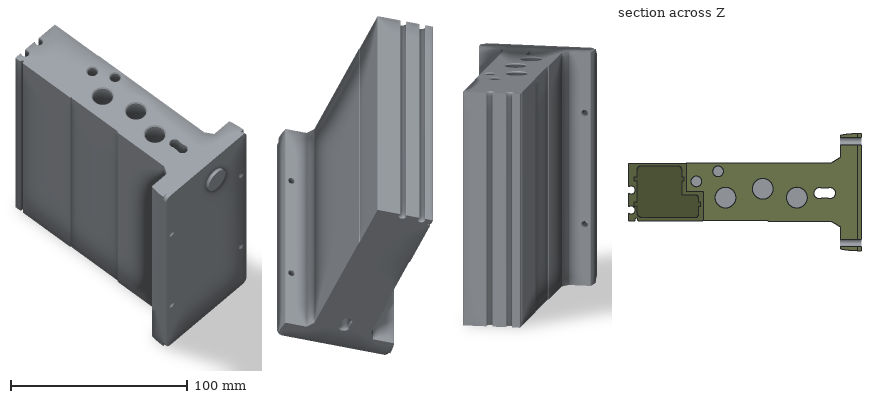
import cadquery as cq
import math

HEIGHT = 135.4

WEB_HALF_WIDTH = 16.8
FLANGE_WIDTH = 66.8
FLANGE_HALF_WIDTH = FLANGE_WIDTH / 2
FLANGE_BACK_X = 120.2
FLANGE_BACK_HALF_WIDTH = 32.4
HAUNCH_LENGTH = 4.9
HAUNCH_RISE = 3.0
PANEL_X = 130.1
FLANGE_EDGE_FILLET = 0.4
JOINT_FILLET = 0.5
RECESS_DEPTH = 0.7
RECESS_END_X = 78.8
RECESS_RAMP_LENGTH = 0.8

CAP_UPPER_X = 33.0
CAP_LOWER_X = 42.7
CAP_STEP_Y = 0.3
CAP_STEP_FILLET = 0.8
CAP_HALF_WIDTH = 16.5
CAP_CORNER_FILLET = 0.4
CORD_GROOVE_DIAMETER = 4.3
CORD_GROOVE_X = 1.8
CORD_GROOVE_YS = (1.2, -10.2)
CORD_GROOVE_CHAMFER = 0.5
CORD_MOUTH_FILLET = 0.3
LIP_GROOVE_WIDTH = 1.2
LIP_GROOVE_X = 4.7
LIP_GROOVE_DEPTH = 1.8
LIP_MOUTH_FILLET = 0.8

CORE_LEFT_X = 5.3
CORE_UPPER_X = 30.3
CORE_LOWER_X = 39.7
CORE_TOP_Y = 14.8
CORE_STEP_Y = -1.9
CORE_BOTTOM_Y = -14.2
CORE_UPPER_FILLET = 2.3
CORE_STEP_FILLET = 1.2
CORE_BOTTOM_FILLET = 2.7
LEFT_KEY_DEPTH = 1.6
RIGHT_KEY_DEPTH = 1.2
KEY_WIDTH = 2.2
UPPER_KEY_Y = 7.5
LOWER_KEY_Y = -6.9

BORE_DIAMETER = 11.5
BORE_CENTRES = ((55.2, -3.1), (76.4, 1.9), (95.7, -3.1))
PORT_DIAMETER = 5.8
PORT_CENTRES = ((38.7, 6.1), (51.0, 11.8))
MOUTH_CHAMFER = 0.7
BLIND_DEPTH = 40.6
KEYHOLE_DIAMETER = 6.0
KEYHOLE_XS = (108.5, 114.5)
KEYHOLE_Y = -0.5
KEYHOLE_NECK_WIDTH = 5.3

PANEL_THICKNESS = 2.5
PANEL_CORNER_RADIUS = 3.2
BUTTON_DIAMETER = 14.2
BUTTON_HEIGHT = 2.0
BUTTON_Y = 6.6
BUTTON_Z = 49.7
SCREW_DIAMETER = 3.8
SCREW_Y = 28.8
SCREW_Z = 32.2


def prism(sketch):
    """Extrude a closed XY outline over the full height, centred on Z = 0."""
    return sketch.extrude(HEIGHT / 2, both=True)


def block(x_min, x_max, y_min, y_max):
    """Full-height block between the given X and Y limits."""
    outline = cq.Workplane("XY").center((x_min + x_max) / 2, (y_min + y_max) / 2)
    return prism(outline.rect(x_max - x_min, y_max - y_min))


def full_height_cylinder(x, y, diameter):
    return prism(cq.Workplane("XY").center(x, y).circle(diameter / 2))


def screw_holes():
    """Four cutters along X through the flange and the panel."""
    length = PANEL_X + PANEL_THICKNESS - FLANGE_BACK_X
    centres = [(y, z) for y in (-SCREW_Y, SCREW_Y) for z in (-SCREW_Z, SCREW_Z)]
    plane = cq.Workplane("YZ", origin=(FLANGE_BACK_X, 0, 0))
    return plane.pushPoints(centres).circle(SCREW_DIAMETER / 2).extrude(length)


def fillet_upright_edge(body, x, y, radius):
    """Round the edge parallel to Z that passes through (x, y)."""
    return body.edges(cq.selectors.NearestToPointSelector((x, y, 0))).fillet(radius)


def cap_envelope():
    """Stepped block that the end cap and its core fill together."""
    upper = block(0, CAP_UPPER_X, -CAP_HALF_WIDTH, CAP_HALF_WIDTH)
    lower = block(0, CAP_LOWER_X, -CAP_HALF_WIDTH, CAP_STEP_Y)
    return fillet_upright_edge(upper.union(lower), CAP_LOWER_X, CAP_STEP_Y, CAP_STEP_FILLET)


def housing_profile():
    """T-shaped extrusion whose flange edges are shallow arcs."""
    haunch_x = FLANGE_BACK_X - HAUNCH_LENGTH
    haunch_y = WEB_HALF_WIDTH + HAUNCH_RISE
    recess_y = -WEB_HALF_WIDTH + RECESS_DEPTH
    outline = (
        cq.Workplane("XY")
        .moveTo(CAP_UPPER_X, WEB_HALF_WIDTH)
        .lineTo(haunch_x, WEB_HALF_WIDTH)
        .lineTo(FLANGE_BACK_X, haunch_y)
        .lineTo(FLANGE_BACK_X, FLANGE_BACK_HALF_WIDTH)
        .threePointArc(flange_arc_middle(1), (PANEL_X, FLANGE_HALF_WIDTH))
        .lineTo(PANEL_X, -FLANGE_HALF_WIDTH)
        .threePointArc(flange_arc_middle(-1), (FLANGE_BACK_X, -FLANGE_BACK_HALF_WIDTH))
        .lineTo(FLANGE_BACK_X, -haunch_y)
        .lineTo(haunch_x, -WEB_HALF_WIDTH)
        .lineTo(RECESS_END_X + RECESS_RAMP_LENGTH, -WEB_HALF_WIDTH)
        .lineTo(RECESS_END_X, recess_y)
        .lineTo(CAP_UPPER_X, recess_y)
        .close()
    )
    body = prism(outline)
    for side in (-1, 1):
        corner_y = side * FLANGE_BACK_HALF_WIDTH
        body = fillet_upright_edge(body, FLANGE_BACK_X, corner_y, FLANGE_EDGE_FILLET)
    return body


def flange_arc_middle(side):
    """Point halfway along a flange edge arc, which ends parallel to X at the panel."""
    drop = FLANGE_HALF_WIDTH - FLANGE_BACK_HALF_WIDTH
    return ((FLANGE_BACK_X + PANEL_X) / 2, side * (FLANGE_HALF_WIDTH - drop / 4))


def blind_holes(centres, diameter):
    """Cutters for blind holes from the top face, with chamfered mouths."""
    drill = (
        cq.Workplane("XY", origin=(0, 0, HEIGHT / 2))
        .pushPoints(centres)
        .circle(diameter / 2)
        .extrude(-BLIND_DEPTH)
    )
    mouth = (
        cq.Workplane("XY", origin=(0, 0, HEIGHT / 2))
        .pushPoints(centres)
        .circle(diameter / 2 + MOUTH_CHAMFER)
        .extrude(-MOUTH_CHAMFER, taper=45)
    )
    return drill.union(mouth)


def keyhole():
    """Two overlapping full-height holes joined by a narrower neck."""
    half_neck = KEYHOLE_NECK_WIDTH / 2
    cutter = block(*KEYHOLE_XS, KEYHOLE_Y - half_neck, KEYHOLE_Y + half_neck)
    for x in KEYHOLE_XS:
        cutter = cutter.union(full_height_cylinder(x, KEYHOLE_Y, KEYHOLE_DIAMETER))
    return cutter


def make_housing():
    body = housing_profile().cut(cap_envelope())
    body = fillet_upright_edge(body, CAP_LOWER_X, -WEB_HALF_WIDTH + RECESS_DEPTH, JOINT_FILLET)
    body = body.cut(blind_holes(BORE_CENTRES, BORE_DIAMETER))
    body = body.cut(blind_holes(PORT_CENTRES, PORT_DIAMETER))
    return body.cut(keyhole()).cut(screw_holes())


def make_core():
    upper = block(CORE_LEFT_X, CORE_UPPER_X, CORE_BOTTOM_Y, CORE_TOP_Y)
    lower = block(CORE_LEFT_X, CORE_LOWER_X, CORE_BOTTOM_Y, CORE_STEP_Y)
    core = upper.union(lower)
    rounded_corners = (
        (CORE_LEFT_X, CORE_TOP_Y, CORE_UPPER_FILLET),
        (CORE_UPPER_X, CORE_TOP_Y, CORE_UPPER_FILLET),
        (CORE_LOWER_X, CORE_STEP_Y, CORE_STEP_FILLET),
        (CORE_LOWER_X, CORE_BOTTOM_Y, CORE_STEP_FILLET),
        (CORE_LEFT_X, CORE_BOTTOM_Y, CORE_BOTTOM_FILLET),
    )
    for x, y, radius in rounded_corners:
        core = fillet_upright_edge(core, x, y, radius)
    for y, right_x in ((UPPER_KEY_Y, CORE_UPPER_X), (LOWER_KEY_Y, CORE_LOWER_X)):
        key = block(
            CORE_LEFT_X - LEFT_KEY_DEPTH,
            right_x + RIGHT_KEY_DEPTH,
            y - KEY_WIDTH / 2,
            y + KEY_WIDTH / 2,
        )
        core = core.union(key)
    return core


def add_cord_groove(cap, y):
    """Round groove open to the X = 0 face, with a chamfered top end and a rounded mouth."""
    radius = CORD_GROOVE_DIAMETER / 2
    half_mouth = math.sqrt(radius**2 - CORD_GROOVE_X**2)
    cap = cap.cut(full_height_cylinder(CORD_GROOVE_X, y, CORD_GROOVE_DIAMETER))
    for mouth_y in (y - half_mouth, y + half_mouth):
        cap = fillet_upright_edge(cap, 0, mouth_y, CORD_MOUTH_FILLET)
    countersink = (
        cq.Workplane("XY", origin=(CORD_GROOVE_X, y, HEIGHT / 2))
        .circle(radius + CORD_GROOVE_CHAMFER)
        .extrude(-CORD_GROOVE_CHAMFER, taper=45)
    )
    return cap.cut(countersink)


def add_lip_groove(cap):
    """Narrow round-bottomed groove in the -Y face, with a rounded mouth."""
    radius = LIP_GROOVE_WIDTH / 2
    left_x = LIP_GROOVE_X - radius
    right_x = LIP_GROOVE_X + radius
    centre_y = -CAP_HALF_WIDTH + LIP_GROOVE_DEPTH - radius
    cap = cap.cut(full_height_cylinder(LIP_GROOVE_X, centre_y, LIP_GROOVE_WIDTH))
    cap = cap.cut(block(left_x, right_x, -CAP_HALF_WIDTH, centre_y))
    for x in (left_x, right_x):
        cap = fillet_upright_edge(cap, x, -CAP_HALF_WIDTH, LIP_MOUTH_FILLET)
    return cap


def make_end_cap(core):
    cap = cap_envelope().cut(core)
    outer_corners = (
        (0, CAP_HALF_WIDTH),
        (0, -CAP_HALF_WIDTH),
        (CAP_UPPER_X, CAP_HALF_WIDTH),
    )
    for x, y in outer_corners:
        cap = fillet_upright_edge(cap, x, y, CAP_CORNER_FILLET)
    for y in CORD_GROOVE_YS:
        cap = add_cord_groove(cap, y)
    return add_lip_groove(cap)


def make_panel():
    plate = (
        cq.Workplane("YZ", origin=(PANEL_X, 0, 0))
        .rect(FLANGE_WIDTH, HEIGHT)
        .extrude(PANEL_THICKNESS)
        .edges("|X")
        .fillet(PANEL_CORNER_RADIUS)
    )
    button = (
        cq.Workplane("YZ", origin=(PANEL_X + PANEL_THICKNESS, BUTTON_Y, BUTTON_Z))
        .circle(BUTTON_DIAMETER / 2)
        .extrude(BUTTON_HEIGHT)
    )
    return plate.union(button).cut(screw_holes())


housing = make_housing()
core = make_core()
end_cap = make_end_cap(core)
panel = make_panel()

result = cq.Compound.makeCompound([housing.val(), end_cap.val(), core.val(), panel.val()])